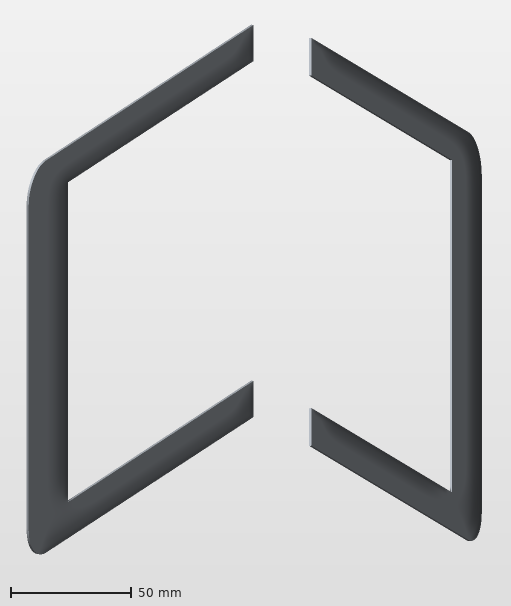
import cadquery as cq

thickness = 1.0
length = 196.0
height = 174.0
arm_width = 16.0
spine_width = 34.0
corner_radius = 15.0

plate = (
    cq.Workplane("XY")
    .box(thickness, length, height)
    .edges("|X and <Y")
    .fillet(corner_radius)
)

opening_length = length - spine_width
opening_height = height - 2 * arm_width
opening = (
    cq.Workplane("XY")
    .box(thickness, opening_length, opening_height)
    .translate((0, spine_width / 2, 0))
)

result = plate.cut(opening)